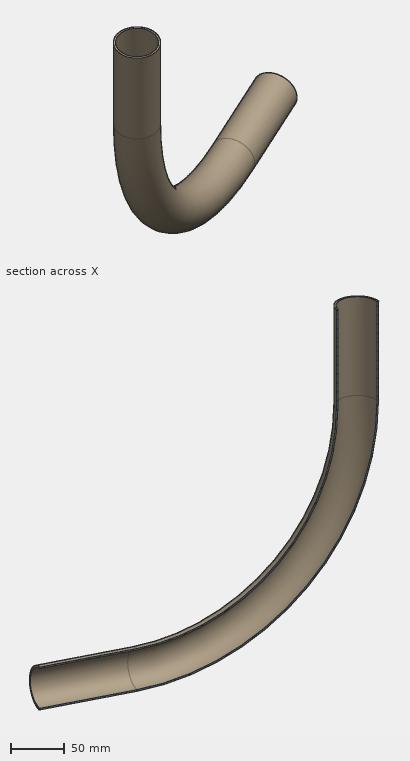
import cadquery as cq

overall_length = 352.5
outer_diameter = 44.5
inner_diameter = 40.2
straight_length = 101.0

bend_radius = overall_length - straight_length - outer_diameter / 2

leg_end = (straight_length, -bend_radius)
centreline = (
    cq.Workplane("YZ")
    .moveTo(*leg_end)
    .lineTo(0, -bend_radius)
    .radiusArc((-bend_radius, 0), bend_radius)
    .lineTo(-bend_radius, straight_length)
)

section = (
    cq.Workplane("XZ", origin=(0, *leg_end))
    .circle(outer_diameter / 2)
    .circle(inner_diameter / 2)
)
result = section.sweep(centreline)